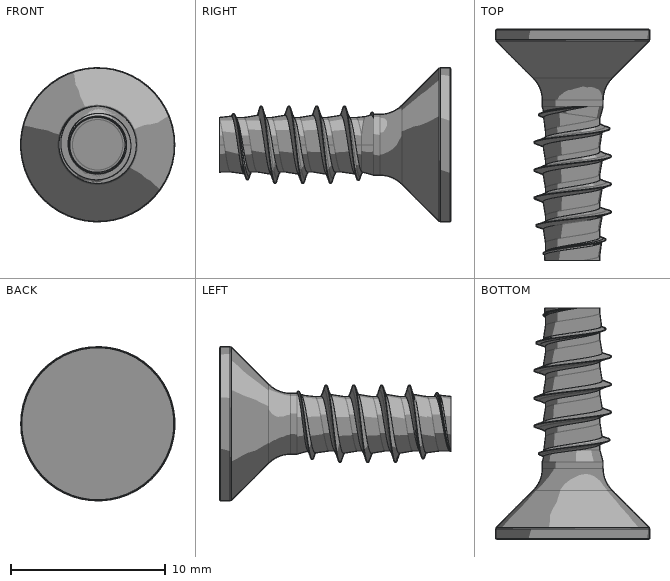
import cadquery as cq
import math

length = 15.0

head_diameter = 30 / 3
head_radius = head_diameter / 2
rim_thickness = 0.75
rim_edge_break = 0.08

shank_radius = 1.98
neck_fillet_radius = 2.0
shank_end = 5.02
core_taper_end = 5.85
core_radius = 1.77
taper_end_radius = 1.75
tip_dish_radius = 1.64
tip_dish_depth = 0.15

pitch = 1.8
crest_on_top = 5.1
thread_start = 4.2
full_depth_start = 6.9
full_depth_end = 12.3
thread_height = 0.74
start_fraction = 0.2
end_fraction = 0.04
crest_half_width = 0.022
flank_knee_height = 0.39
flank_knee_offset = 0.12
flank_root_offset = 0.3
ridge_height = 0.15
ridge_start_offset = 0.24
ridge_toe_offset = 1.15
thread_bury = 0.03
points_per_turn = 16


def make_body():
    """Revolve the head, neck and core, with the dished tip."""
    neck_drop = neck_fillet_radius * (1 - math.cos(math.pi / 4))
    neck_run = neck_fillet_radius * math.sin(math.pi / 4)
    cone_end_radius = shank_radius + neck_drop
    cone_end = rim_thickness + head_radius - cone_end_radius
    neck_end = cone_end + neck_run
    arc_radius = shank_radius + neck_fillet_radius * (1 - math.cos(math.pi / 8))
    arc_position = neck_end - neck_fillet_radius * math.sin(math.pi / 8)
    profile = (
        cq.Workplane("XY")
        .lineTo(head_radius - rim_edge_break, 0)
        .lineTo(head_radius, -rim_edge_break)
        .lineTo(head_radius, -rim_thickness + rim_edge_break)
        .lineTo(head_radius - rim_edge_break / 2, -rim_thickness - rim_edge_break / 2)
        .lineTo(cone_end_radius, -cone_end)
        .threePointArc((arc_radius, -arc_position), (shank_radius, -neck_end))
        .lineTo(shank_radius, -shank_end)
        .lineTo(core_radius, -shank_end)
        .lineTo(core_radius, -length)
        .lineTo(tip_dish_radius, -length)
        .lineTo(0, -length + tip_dish_depth)
        .close()
    )
    return profile.revolve(360, (0, 0, 0), (0, 1, 0))


def height_fraction(position):
    """Thread height relative to full depth, fading out at both ends."""
    if position < full_depth_start:
        progress = max(0, (position - thread_start) / (full_depth_start - thread_start))
        return start_fraction + (1 - start_fraction) * progress
    if position > full_depth_end:
        progress = (position - full_depth_end) / (length - full_depth_end)
        return max(end_fraction, 1 - (1 - end_fraction) * progress)
    return 1.0


def thread_section(position):
    """(radius, axial offset) corners of the thread, from head side to tip side."""
    depth = height_fraction(position)
    width = math.sqrt(depth)
    root_offset = flank_root_offset * width
    flank_slope = flank_knee_height * depth / (root_offset - flank_knee_offset * width)
    ridge_slope = ridge_height / (ridge_toe_offset - ridge_start_offset)
    inner = core_radius - thread_bury
    return [
        (inner, -root_offset - thread_bury / flank_slope),
        (core_radius + flank_knee_height * depth, -flank_knee_offset * width),
        (core_radius + thread_height * depth, -crest_half_width * width),
        (core_radius + thread_height * depth, crest_half_width * width),
        (core_radius + ridge_height * width, ridge_start_offset * width),
        (inner, ridge_toe_offset + thread_bury / ridge_slope),
    ]


def thread_point(position, corner):
    radius, offset = thread_section(position)[corner]
    angle = 2 * math.pi * (position - crest_on_top) / pitch
    return cq.Vector(-radius * math.sin(angle), -(position + offset), radius * math.cos(angle))


def thread_segment(start, end):
    """Solid thread between two axial positions, bounded by ruled helical strips."""
    count = math.ceil((end - start) / pitch * points_per_turn)
    positions = [start + (end - start) * i / count for i in range(count + 1)]
    corners = range(len(thread_section(start)))
    edges = [cq.Edge.makeSpline([thread_point(p, c) for p in positions]) for c in corners]
    faces = [cq.Face.makeRuledSurface(edges[c - 1], edges[c]) for c in corners]
    for position in (start, end):
        outline = [thread_point(position, c) for c in corners]
        section = cq.Wire.makePolygon(outline, close=True)
        faces.append(cq.Face.makeFromWires(section))
    return cq.Solid.makeSolid(cq.Shell.makeShell(faces))


def make_thread():
    """Thread trimmed flush with the shank shoulder and the tip."""
    envelope = (
        cq.Workplane("XZ", origin=(0, -shank_end, 0))
        .circle(head_radius)
        .extrude(length - shank_end)
    )
    thread = cq.Workplane(thread_segment(thread_start, length + flank_root_offset))
    return envelope.intersect(thread)


def make_core_taper():
    """Cone that blends the shank into the thinner threaded core."""
    profile = (
        cq.Workplane("XY")
        .moveTo(0, -shank_end)
        .lineTo(shank_radius, -shank_end)
        .lineTo(taper_end_radius, -core_taper_end)
        .lineTo(0, -core_taper_end)
        .close()
    )
    return profile.revolve(360, (0, 0, 0), (0, 1, 0))


result = make_body().union(make_thread()).union(make_core_taper())